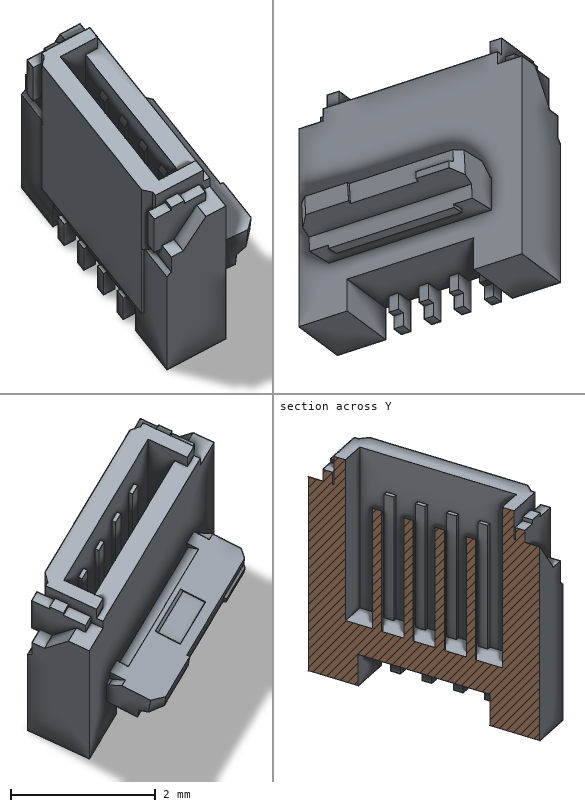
import cadquery as cq


body_width = 3.7
wing_front = -0.967
wing_ledge_y = -0.896
wing_top = 3.142
wing_ledge_z = 2.612
wing_slope_back = -0.326
wing_slope_front = -0.70
bevel_top = 2.265
bevel_height = wing_ledge_y - wing_front

housing_height = 3.6
housing_width = 2.89
housing_front = -1.003
front_plate_width = 2.526
front_plate_bottom = 0.672
chamfer_width = 0.115
housing_rim_back = -0.10
back_wall_top = 3.335

cavity_width = 2.50
cavity_back = -0.30
cavity_front = -0.712
cavity_floor = 1.0

contact_count = 4
contact_pitch = 0.5
contact_width = 0.155
contact_top = 3.0
back_contact_depth = 0.05
back_contact_slope = 0.10
front_contact_depth = 0.06
tail_front = -1.025
tail_depth = 0.19
tail_bottom = 0.04
tail_top = 0.545
tail_arm_bottom = 0.246
tail_recess_width = 2.1
tail_recess_height = 0.505

clip_inner_x = 1.457
clip_outer_x = 1.615
clip_back = -0.183
clip_front = -1.025
clip_bottom = 2.543
clip_top = 3.335
clip_nub_top = 3.395
clip_nub_back = -0.53
clip_nub_front = -0.743

lever_tilt = 5.0
lever_pivot_z = 1.537
lever_width = 2.695
lever_reach = 0.805
lever_thickness = 0.68
lever_root = -0.15
lever_heel_reach = 0.547
lever_heel_drop = 0.463
lever_tip_drop = 0.28
lever_corner = 0.112

tab_reach = 0.85
left_tab_inner_x = -0.64
left_tab_drop = 0.175
right_tab_inner_x = 0.48

side_relief_width = 0.10
side_relief_reach = 0.245
side_relief_floor_reach = 0.055
side_relief_drop = 0.17
groove_width = 2.08
groove_reach = 0.185
groove_step_reach = 0.03
groove_step_drop = 0.10
groove_drop = 0.30
pocket_width = 0.745
pocket_near = 0.255
pocket_floor_near = 0.297
pocket_far = 0.645
pocket_drop = 0.02
lip_start = 0.345
lip_drop = 0.73


def box(x0, x1, y0, y1, z0, z1):
    """Box between two opposite corners."""
    size = (abs(x1 - x0), abs(y1 - y0), abs(z1 - z0))
    low_corner = (min(x0, x1), min(y0, y1), min(z0, z1))
    return cq.Workplane("XY").box(*size, centered=False).translate(low_corner)


def side_prism(points, x0, x1):
    """Prism along X from an outline of (y, z) points."""
    return cq.Workplane("YZ").polyline(points).close().extrude(x1 - x0).translate((x0, 0, 0))


def make_body():
    profile = [
        (0, 0),
        (0, wing_top),
        (wing_slope_back, wing_top),
        (wing_slope_front, wing_ledge_z),
        (wing_ledge_y, wing_ledge_z),
        (wing_ledge_y, bevel_top),
        (wing_front, bevel_top - bevel_height),
        (wing_front, 0),
    ]
    body = side_prism(profile, -body_width / 2, body_width / 2)
    recess = box(-tail_recess_width / 2, tail_recess_width / 2, 0, wing_front, 0, tail_recess_height)
    return body.cut(recess)


def make_housing():
    half = housing_width / 2
    plate_half = front_plate_width / 2
    shoulder_half = plate_half + chamfer_width
    outline = [
        (-half, housing_rim_back),
        (-half, wing_ledge_y),
        (-shoulder_half, wing_ledge_y),
        (-plate_half, housing_front),
        (plate_half, housing_front),
        (shoulder_half, wing_ledge_y),
        (half, wing_ledge_y),
        (half, housing_rim_back),
    ]
    rim_base = bevel_top - bevel_height
    rim = cq.Workplane("XY").workplane(offset=rim_base).polyline(outline).close()
    rim = rim.extrude(housing_height - rim_base)
    rim_opening = box(-cavity_width / 2, cavity_width / 2, 0, cavity_front, back_wall_top, housing_height)
    back_wall = box(-half, half, 0, cavity_back, rim_base, back_wall_top)
    plate = box(-plate_half, plate_half, wing_ledge_y, housing_front, front_plate_bottom, housing_height)
    return rim.cut(rim_opening).union(back_wall).union(plate)


def make_cavity():
    half = cavity_width / 2
    return box(-half, half, cavity_back, cavity_front, cavity_floor, housing_height)


def make_contact(x):
    """Facing pair of contacts in the cavity and the solder tail below."""
    x0 = x - contact_width / 2
    x1 = x + contact_width / 2
    back_tip = cavity_back - back_contact_depth
    back_profile = [
        (cavity_back, cavity_floor),
        (cavity_back, contact_top),
        (back_tip, contact_top - back_contact_slope),
        (back_tip, cavity_floor),
    ]
    back = side_prism(back_profile, x0, x1)
    front = box(x0, x1, cavity_front, cavity_front + front_contact_depth, cavity_floor, contact_top)
    tail = box(x0, x1, tail_front, tail_front + tail_depth, tail_bottom, tail_top)
    arm = box(x0, x1, tail_front, cavity_front, tail_arm_bottom, tail_top)
    return back.union(front).union(tail).union(arm)


def make_clip(side):
    inner = side * clip_inner_x
    outer = side * clip_outer_x
    plate = box(inner, outer, clip_back, clip_front, clip_bottom, clip_top)
    nub = box(inner, outer, clip_nub_back, clip_nub_front, clip_top, clip_nub_top)
    return plate.union(nub)


def make_lever():
    """Lever built level, with its top face on Z = 0, then tilted into place."""
    half = lever_width / 2
    profile = [
        (lever_root, 0),
        (tab_reach, 0),
        (tab_reach, -lever_tip_drop),
        (lever_heel_reach, -lever_heel_drop),
        (lever_heel_reach, -lever_thickness),
        (lever_root, -lever_thickness),
    ]
    lever = side_prism(profile, -half, half)

    lever = lever.cut(box(left_tab_inner_x, right_tab_inner_x, lever_reach, tab_reach, -lever_thickness, 0))
    lever = lever.cut(box(-half, left_tab_inner_x, lever_reach, tab_reach, -left_tab_drop, 0))

    corner_x = half - lever_corner - (tab_reach - lever_reach)
    corner_y = lever_reach - lever_corner
    for side in (-1, 1):
        corner = [(side * corner_x, tab_reach), (side * half, tab_reach), (side * half, corner_y)]
        lever = lever.cut(cq.Workplane("XY").polyline(corner).close().extrude(-lever_thickness))

    relief = [
        (lever_root, 0),
        (side_relief_reach, 0),
        (side_relief_floor_reach, -side_relief_drop),
        (lever_root, -side_relief_drop),
    ]
    lever = lever.cut(side_prism(relief, -half, side_relief_width - half))
    lever = lever.cut(side_prism(relief, half - side_relief_width, half))

    groove = [
        (lever_root, 0),
        (groove_reach, 0),
        (groove_step_reach, -groove_step_drop),
        (0, -groove_drop),
        (lever_root, -groove_drop),
    ]
    lever = lever.cut(side_prism(groove, -groove_width / 2, groove_width / 2))

    pocket = [
        (pocket_near, 0),
        (pocket_floor_near, -pocket_drop),
        (pocket_far, -pocket_drop),
        (pocket_far, 0),
    ]
    lever = lever.cut(side_prism(pocket, -pocket_width / 2, pocket_width / 2))

    lip_half = groove_width / 2
    lip = box(-lip_half, lip_half, lip_start, lever_heel_reach, -lever_thickness, -lip_drop)
    lever = lever.union(lip)
    return lever.rotate((0, 0, 0), (1, 0, 0), -lever_tilt).translate((0, 0, lever_pivot_z))


result = make_body().union(make_housing()).union(make_lever()).cut(make_cavity())
for index in range(contact_count):
    contact_x = (index - (contact_count - 1) / 2) * contact_pitch
    result = result.union(make_contact(contact_x))
for clip_side in (-1, 1):
    result = result.union(make_clip(clip_side))